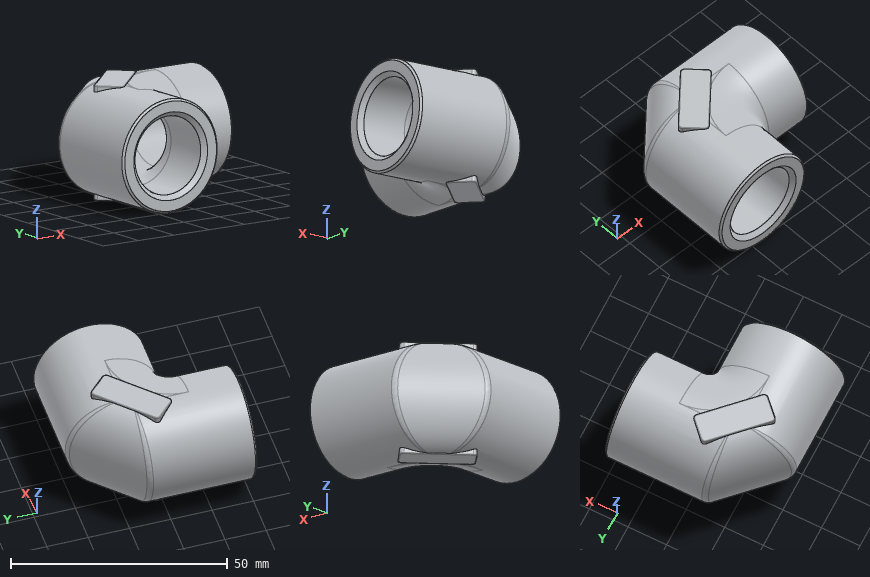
import cadquery as cq
import math


outer_radius = 27.0 / 2
arm_length = 28.0
end_chamfer = 0.5

bore_radius = 18.63 / 2
bore_bend_radius = 15.0
mouth_radius = 20.9 / 2
mouth_chamfer = mouth_radius - bore_radius

back_offset = 2.0
back_edge_radius = 2.0

throat_radius = 2.0
throat_centre = outer_radius + throat_radius

pad_length = 18.0
pad_width = 7.2
pad_height = 27.17
pad_centre = 2.42
pad_angle = 45.0
pad_corner_radius = 1.0
pad_edge_radius = 0.2


def elbow():
    """Two round solid arms, mitred where they meet and chamfered at the ends."""
    path = cq.Workplane("XY").polyline([(0, -arm_length), (0, 0), (arm_length, 0)])
    start = cq.Workplane("XZ", origin=(0, -arm_length, 0))
    arms = start.circle(outer_radius).sweep(path, transition="right")
    return arms.faces(">X or <Y").chamfer(end_chamfer)


def corner_box():
    """Outer corner of the elbow, up to the start of the bevel on each arm."""
    reach = outer_radius + back_offset
    middle = (outer_radius - back_offset) / 2
    return cq.Workplane("XY").box(reach, reach, 2 * outer_radius).translate((-middle, middle, 0))


def back_waste():
    """Part of the outer corner that the bevelled back removes.

    The back is the arm circle pushed along the 45 degree line from one arm to
    the other, which makes an oval cylinder square to that line.
    """
    slant = math.sqrt(2)
    half_run = 2 * (outer_radius + back_offset)
    oval_plane = cq.Plane((-half_run, -half_run, 0), xDir=(1, -1, 0), normal=(1, 1, 0))
    oval = (
        cq.Workplane(oval_plane)
        .center(back_offset / slant, 0)
        .ellipse(outer_radius / slant, outer_radius)
        .extrude(2 * half_run * slant)
    )
    return corner_box().cut(oval)


def throat():
    """Quarter turn of a half disc that rounds the inner corner.

    A square block outside the turn carries its flat crown to both arm axes.
    """
    half_disc = (
        cq.Workplane("XZ", origin=(0, -throat_centre, 0))
        .moveTo(0, -outer_radius)
        .threePointArc((outer_radius, 0), (0, outer_radius))
        .close()
    )
    turn = half_disc.revolve(90, (throat_centre, 1, 0), (throat_centre, 0, 0))
    crown = (
        cq.Workplane("XY", origin=(0, 0, -outer_radius))
        .moveTo(0, 0)
        .lineTo(0, -throat_centre)
        .radiusArc((throat_centre, 0), throat_centre)
        .close()
        .extrude(2 * outer_radius)
    )
    return turn.union(crown)


def pads():
    """Block whose two ends stand out of the body as label pads."""
    return (
        cq.Workplane("XY")
        .box(pad_length, pad_width, pad_height)
        .edges("|Z")
        .fillet(pad_corner_radius)
        .faces("<Z or >Z")
        .edges()
        .fillet(pad_edge_radius)
        .rotate((0, 0, 0), (0, 0, 1), pad_angle)
        .translate((pad_centre, -pad_centre, 0))
    )


def round_back_edges(body):
    """Round the two edges between the bevelled back and the arms.

    They are the long edges, from the top pad to the bottom one, that lie in the
    planes where the bevel starts.
    """
    tolerance = 0.01
    edges = []
    for edge in body.edges().vals():
        box = edge.BoundingBox()
        on_x_arm = abs(box.xmin - back_offset) < tolerance and box.xlen < tolerance
        on_y_arm = abs(box.ymin + back_offset) < tolerance and box.ylen < tolerance
        if (on_x_arm or on_y_arm) and box.zlen > outer_radius:
            edges.append(edge)
    return body.newObject(edges).fillet(back_edge_radius)


def bore():
    """Bore along both arms with a round bend in the corner."""
    path = (
        cq.Workplane("XY")
        .moveTo(0, -arm_length)
        .lineTo(0, -bore_bend_radius)
        .radiusArc((bore_bend_radius, 0), bore_bend_radius)
        .lineTo(arm_length, 0)
    )
    start = cq.Workplane("XZ", origin=(0, -arm_length, 0))
    return start.circle(bore_radius).sweep(path)


def chamfer_mouths(body):
    """Chamfer the bore where it opens at each end face."""
    end_circles = body.faces(">X or <Y").edges("%CIRCLE")
    mouths = end_circles.edges(cq.selectors.RadiusNthSelector(0))
    return mouths.chamfer(mouth_chamfer)


body = elbow().cut(back_waste()).union(throat()).union(pads())
body = round_back_edges(body)
result = chamfer_mouths(body.cut(bore()))